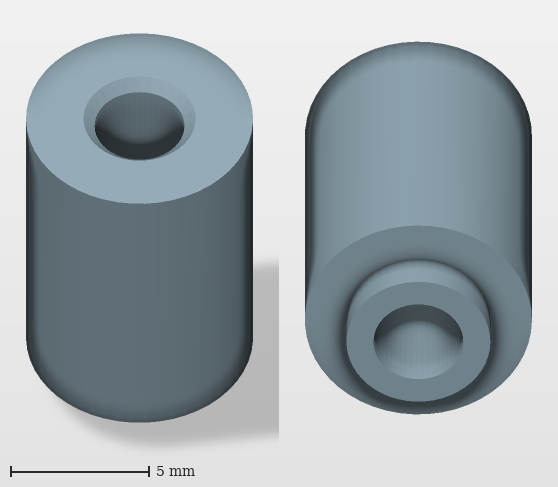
import cadquery as cq

total_height = 13.4
body_diameter = 8.2
spigot_diameter = 5.2
spigot_height = 1.42
bore_diameter = 3.24
bore_chamfer = 0.4

body_height = total_height - spigot_height

spigot = cq.Workplane("XY").circle(spigot_diameter / 2).extrude(spigot_height)
body = (
    cq.Workplane("XY")
    .workplane(offset=spigot_height)
    .circle(body_diameter / 2)
    .extrude(body_height)
)

bore = cq.Workplane("XY").circle(bore_diameter / 2).extrude(total_height)
spacer = spigot.union(body).cut(bore)

result = spacer.faces(">Z").edges(cq.selectors.RadiusNthSelector(0)).chamfer(bore_chamfer)